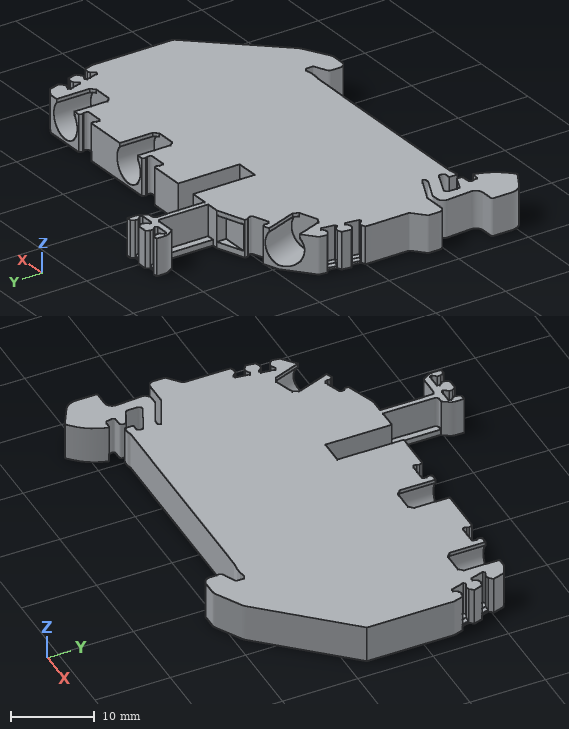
import cadquery as cq
import math

LENGTH = 55.0
HEIGHT = 44.9
THICKNESS = 5.1
BODY_TOP = 34.93
OVERCUT = 1.0
UP = 90.0

SHOULDER_ANGLE = 20.0
SHOULDER_X = 15.75
SHOULDER_LENGTH = 9.1

HEAD_CENTER_X = 16.9
HEAD_WIDTH = 6.32
HEAD_BOTTOM = 42.2
HEAD_CORNER_WIDTH = 0.76
HEAD_CORNER_RISE = 1.15
HEAD_SIDE_FILLET = 1.6
STEM_LEFT = 16.54
STEM_RIGHT = 19.23
STEM_FLANGE_THICKNESS = 0.82
STEM_WEB_LEFT = 17.6
STEM_WEB_RIGHT = 18.35
STEM_WEB_FILLET = 0.45

NOTCH_PITCH = 3.18
NOTCH_RECESS = 0.5
NOTCH_NECK = 1.2
NOTCH_MOUTH = 1.8
NOTCH_SHOULDER_DEPTH = 0.45
NOTCH_WIDE = 2.15
NOTCH_WIDE_DEPTH = 1.0
NOTCH_BACK = 1.85
NOTCH_BACK_DEPTH = 1.3

RIGHT_NOTCHES = (53.78, 30.2)
RIGHT_NOTCH_ANGLE = 17.0
LEFT_NOTCHES = (2.9, 24.95)
LEFT_NOTCH_ANGLE = 171.0

FLOOR = 0.5
FLOOR_BEVEL_DROP = 0.2
FLOOR_BEVEL_WIDTH = 0.5

POLE_PITCH = 13.55
CLIP_X = 30.43
CLIP_TO_ENTRY = 4.18
CLIP_NECK = 2.4
CLIP_NECK_DEPTH = 0.45
CLIP_WIDTH = 2.72
CLIP_WIDE_DEPTH = 0.75
CLIP_DEPTH = 1.33
CLIP_FILLET = 0.25
CLIP_ON_SHOULDER = 5.48
ENTRY_DEPTH = 5.3
ENTRY_RADIUS = 2.5
ENTRY_AXIS_Z = 3.0
ENTRY_SLOT_FLOOR = 4.6
ENTRY_CORNER = 0.55

BRIDGE_LEFT = 20.8
BRIDGE_RIGHT = 24.05
BRIDGE_OPEN_Y = 30.3
BRIDGE_BOTTOM = 26.1
WINDOW_BOTTOM_Y = 33.57
WINDOW_Z_LOW = 0.87
WINDOW_Z_HIGH = 4.43

shoulder_rad = math.radians(SHOULDER_ANGLE)
SHOULDER_END = (
    SHOULDER_X - SHOULDER_LENGTH * math.cos(shoulder_rad),
    BODY_TOP - SHOULDER_LENGTH * math.sin(shoulder_rad),
)
RIGHT_EDGE_LOW = (LENGTH, 26.5)
RIGHT_EDGE_HIGH = (52.65, 34.2)
LEFT_EDGE_LOW = (2.45, 22.4)
LEFT_EDGE_HIGH = (3.35, 28.6)

SPRING_FOOT = [
    (0.0, 6.0, 0.25), (0.0, 1.98, 2.1), (3.63, -0.11, 0.4), (5.75, 1.95, 7.5),
    (6.52, 4.45, 0.15), (5.3, 4.5, 0.25), (5.08, 5.75, 0.25), (6.64, 5.82, 0.3),
    (6.64, 6.6, 0.25), (4.43, 7.62, 0.5), (4.43, 9.85, 0.45), (8.5, 7.95, 0.4),
    (8.5, 7.15, 0.35), (7.43, 7.15, 0.0), (7.43, 5.98, 0.0), (8.2, 5.98, 0.0),
    (8.8, 6.13, 0.0),
]
FIXED_FOOT = [
    (36.9, 6.13, 0.0), (38.0, 6.0, 0.0), (38.7, 6.0, 0.0), (39.3, 6.13, 0.0),
    (40.0, 6.13, 0.4), (40.0, 4.85, 0.15), (37.97, 3.9, 0.5), (37.97, 1.4, 1.0),
    (40.95, 1.4, 1.2), (44.75, 3.55, 1.6),
]
UPPER_BODY = [
    (LENGTH, 14.9, 0.0), (*RIGHT_EDGE_LOW, 0.0), (*RIGHT_EDGE_HIGH, 0.4), (51.3, BODY_TOP, 0.3),
    (SHOULDER_X, BODY_TOP, 0.0), (*SHOULDER_END, 0.5), (*LEFT_EDGE_HIGH, 0.4), (*LEFT_EDGE_LOW, 12.0),
]
LEFT_NOSE_AND_SLIT = [
    (2.46, 16.2, 0.2), (0.66, 14.67, 0.4), (0.66, 12.3, 0.8), (4.45, 12.3, 0.4),
    (8.6, 10.28, 0.15), (8.45, 9.88, 0.15), (7.85, 9.88, 0.3), (4.55, 11.47, 0.4),
    (2.65, 11.47, 0.9), (3.0, 6.0, 1.0),
]


def rounded_polygon(corners):
    """Closed wire through the corners, each rounded with its own radius."""
    count = len(corners)
    wire = None
    for index, (x, y, radius) in enumerate(corners):
        corner = cq.Vector(x, y)
        before = (cq.Vector(*corners[index - 1][:2]) - corner).normalized()
        after = (cq.Vector(*corners[(index + 1) % count][:2]) - corner).normalized()
        half_angle = before.getAngle(after) / 2
        setback = radius / math.tan(half_angle)
        start = corner + before * setback
        wire = cq.Workplane("XY").moveTo(start.x, start.y) if wire is None else wire.lineTo(start.x, start.y)
        if radius > 0:
            reach = radius / math.sin(half_angle) - radius
            middle = corner + (before + after).normalized() * reach
            end = corner + after * setback
            wire = wire.threePointArc((middle.x, middle.y), (end.x, end.y))
    return wire.close()


def block(x_low, x_high, y_low, y_high, z_low, z_high):
    return cq.Workplane("XY").box(
        x_high - x_low, y_high - y_low, z_high - z_low, centered=False
    ).translate((x_low, y_low, z_low))


def placed(tool, point, angle):
    """Move a tool drawn on the X axis so that its +Y points along the angle."""
    return tool.rotate((0, 0, 0), (0, 0, 1), angle - UP).translate((*point, 0))


def beveled_floor(width, depth):
    """Floor prism below Y = 0 whose open edge is beveled downwards."""
    return (
        cq.Workplane("YZ")
        .moveTo(0, 0)
        .lineTo(0, FLOOR - FLOOR_BEVEL_DROP)
        .lineTo(-FLOOR_BEVEL_WIDTH, FLOOR)
        .lineTo(-depth, FLOOR)
        .lineTo(-depth, 0)
        .close()
        .extrude(width / 2, both=True)
    )


def symmetric_prism(half_profile):
    """Full-thickness prism mirrored about X = 0, from (full width, y) pairs."""
    right = [(width / 2, y) for width, y in half_profile]
    left = [(-x, y) for x, y in reversed(right)]
    return cq.Workplane("XY").polyline(right + left).close().extrude(THICKNESS)


def label_notch():
    """Cutter for a label notch; the original edge lies on Y = NOTCH_RECESS."""
    flare = (NOTCH_MOUTH - NOTCH_NECK) / NOTCH_RECESS
    outer_y = NOTCH_RECESS + OVERCUT / 2
    mouth = symmetric_prism([(NOTCH_NECK, 0), (NOTCH_NECK + flare * outer_y, outer_y)])
    pocket = symmetric_prism([
        (NOTCH_BACK, -NOTCH_BACK_DEPTH),
        (NOTCH_WIDE, -NOTCH_WIDE_DEPTH),
        (NOTCH_NECK, -NOTCH_SHOULDER_DEPTH),
        (NOTCH_NECK, 0),
    ])
    return mouth.union(pocket.cut(beveled_floor(NOTCH_WIDE, NOTCH_BACK_DEPTH)))


def cut_notch_pair(body, center, angle):
    """Cut two label notches side by side about a point on the edge."""
    for side in (-1, 1):
        notch = label_notch().translate((side * NOTCH_PITCH / 2, -NOTCH_RECESS, 0))
        body = body.cut(placed(notch, center, angle))
    return body


def clip_groove():
    """Cutter for a marker groove that is narrower at its neck."""
    groove = symmetric_prism([
        (CLIP_WIDTH, -CLIP_DEPTH),
        (CLIP_WIDTH, -CLIP_WIDE_DEPTH),
        (CLIP_NECK, -CLIP_NECK_DEPTH),
        (CLIP_WIDTH, 0),
        (CLIP_WIDTH, OVERCUT),
    ])
    return groove.edges("|Z").edges("<Y").fillet(CLIP_FILLET)


def wire_entry():
    """Cutter for a round wire entry that opens through the upper face."""
    slot_width = 2 * math.sqrt(ENTRY_RADIUS**2 - (ENTRY_SLOT_FLOOR - ENTRY_AXIS_Z)**2)
    bore = (
        cq.Workplane("XZ", origin=(0, OVERCUT, 0))
        .center(0, ENTRY_AXIS_Z)
        .circle(ENTRY_RADIUS)
        .extrude(ENTRY_DEPTH + OVERCUT)
    )
    bore = bore.intersect(block(-ENTRY_RADIUS, ENTRY_RADIUS, -ENTRY_DEPTH, OVERCUT, 0, ENTRY_SLOT_FLOOR))
    slot = block(-slot_width / 2, slot_width / 2, -ENTRY_DEPTH, OVERCUT, ENTRY_AXIS_Z, THICKNESS)
    slot = slot.edges("|Z").edges("<Y").chamfer(ENTRY_CORNER)
    return slot.union(bore)


def shoulder_point(distance):
    return (
        SHOULDER_X - distance * math.cos(shoulder_rad),
        BODY_TOP - distance * math.sin(shoulder_rad),
    )


def make_body():
    outline = SPRING_FOOT + FIXED_FOOT + UPPER_BODY + LEFT_NOSE_AND_SLIT
    return rounded_polygon(outline).extrude(THICKNESS)


def make_label_holder():
    head = symmetric_prism([
        (HEAD_WIDTH - 2 * HEAD_CORNER_WIDTH, HEAD_BOTTOM),
        (HEAD_WIDTH, HEAD_BOTTOM + HEAD_CORNER_RISE),
        (HEAD_WIDTH, HEIGHT),
    ])
    side_corners = cq.selectors.BoxSelector(
        (-HEAD_WIDTH, HEAD_BOTTOM + HEAD_CORNER_RISE - OVERCUT / 2, 0),
        (HEAD_WIDTH, HEAD_BOTTOM + HEAD_CORNER_RISE + OVERCUT / 2, THICKNESS),
    )
    head = head.edges("|Z").edges(side_corners).fillet(HEAD_SIDE_FILLET)
    head = head.translate((HEAD_CENTER_X, 0, 0))
    head = cut_notch_pair(head, (HEAD_CENTER_X, HEIGHT), UP)
    overlap_y = BODY_TOP - OVERCUT
    flange = block(STEM_LEFT, STEM_RIGHT, overlap_y, HEAD_BOTTOM, 0, STEM_FLANGE_THICKNESS)
    web = block(STEM_WEB_LEFT, STEM_WEB_RIGHT, overlap_y, HEAD_BOTTOM, 0, THICKNESS)
    holder = head.union(flange).union(web)
    web_corners = cq.selectors.BoxSelector(
        (STEM_WEB_LEFT - STEM_WEB_FILLET, HEAD_BOTTOM - STEM_WEB_FILLET, STEM_FLANGE_THICKNESS),
        (STEM_WEB_RIGHT + STEM_WEB_FILLET, HEAD_BOTTOM + STEM_WEB_FILLET, THICKNESS),
    )
    return holder.edges("|Z").edges(web_corners).fillet(STEM_WEB_FILLET)


def cut_bridge_slot(body):
    width = BRIDGE_RIGHT - BRIDGE_LEFT
    depth = BRIDGE_OPEN_Y - BRIDGE_BOTTOM
    floor = beveled_floor(width, depth).translate((BRIDGE_LEFT + width / 2, BRIDGE_OPEN_Y, 0))
    slot = block(BRIDGE_LEFT, BRIDGE_RIGHT, BRIDGE_BOTTOM, BODY_TOP + OVERCUT, 0, THICKNESS)
    return body.cut(slot.cut(floor))


def cut_shoulder_window(body):
    """Step in the shoulder, between two walls, that faces -X."""
    left = SHOULDER_X - (BODY_TOP - WINDOW_BOTTOM_Y) / math.tan(shoulder_rad)
    return body.cut(block(left, SHOULDER_X, WINDOW_BOTTOM_Y, BODY_TOP, WINDOW_Z_LOW, WINDOW_Z_HIGH))


def cut_poles(body):
    """Marker groove and wire entry of two straight poles and one tilted pole."""
    for x in (CLIP_X, CLIP_X + POLE_PITCH):
        body = body.cut(placed(clip_groove(), (x, BODY_TOP), UP))
        body = body.cut(placed(wire_entry(), (x + CLIP_TO_ENTRY, BODY_TOP), UP))
    tilt = UP + SHOULDER_ANGLE
    body = body.cut(placed(clip_groove(), shoulder_point(CLIP_ON_SHOULDER), tilt))
    return body.cut(placed(wire_entry(), shoulder_point(CLIP_ON_SHOULDER + CLIP_TO_ENTRY), tilt))


body = make_body()
body = cut_notch_pair(body, RIGHT_NOTCHES, RIGHT_NOTCH_ANGLE)
body = cut_notch_pair(body, LEFT_NOTCHES, LEFT_NOTCH_ANGLE)
body = cut_poles(body)
body = cut_shoulder_window(body)
body = body.union(make_label_holder())
result = cut_bridge_slot(body)